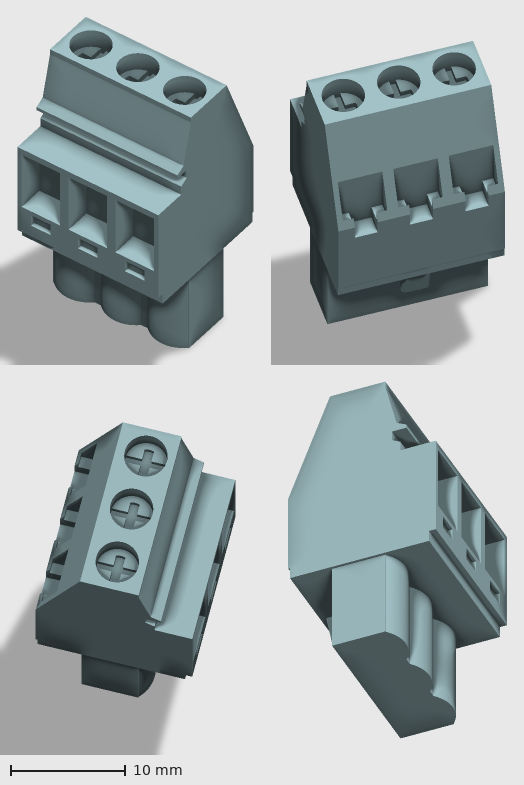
import cadquery as cq


WIDTH = 15.23
DEPTH = 14.1
HEIGHT = 27.1
FRONT = -DEPTH / 2
BACK = DEPTH / 2

POLE_COUNT = 3
PITCH = 5.07
POLE_X = [(i - (POLE_COUNT - 1) / 2) * PITCH for i in range(POLE_COUNT)]

BASE_Z = 8.4
STEP_Z = BASE_Z + 1.08
FRONT_STEP = 0.65
BACK_STEP = 0.15
SHOULDER_Z = 17.15
LEDGE_Z = 19.15
TOP_BACK_Y = 3.05
TOP_FRONT_Y = -2.22
TOP_LIP_Z = HEIGHT - 0.57
NECK_Y = -3.65
NECK_Z = 20.08
GROOVE_Y = -2.85
GROOVE_BOTTOM_Z = 20.51
GROOVE_TOP_Z = 21.44
RIB_Y = -4.23
RIB_Z = 21.8
RIB_ROOT_Y = -3.3
RIB_ROOT_Z = 22.25

PLUG_WIDTH = 14.7
PLUG_BACK_Y = 2.98
PLUG_WEB_Y = -2.15
LOBE_RISE = 0.9
LOBE_WIDTH = 4.35

HOOK_WIDTH = 2.1

WIRE_WIDTH = 4.17
WIRE_BOTTOM_Z = 12.4
WIRE_TOP_Z = 18.5
WIRE_DEPTH = 2.63
TEST_WIDTH = 2.11
TEST_BOTTOM_Z = 10.75
TEST_TOP_Z = 11.95
TEST_DEPTH = 0.45

POCKET_WIDTH = 4.06
POCKET_FRONT_Y = 5.25
POCKET_BACK_Y = 6.7
SLOT_WIDTH = 2.1
SLOT_DEPTH = 1.35

SCREW_Y = 0.35
SCREW_RADIUS = 1.9
SCREW_LENGTH = 2.7
SCREW_RECESS = 1.9
SCREW_TOP_Z = HEIGHT - SCREW_RECESS
BLADE_WIDTH = 0.6
CROSS_WIDTH = 0.85
CROSS_RADIUS = 1.3
DRIVE_DEPTH = 0.55


def box(center_x, width, y_range, z_range):
    """Box centred on center_x that spans the given Y and Z ranges."""
    y_min, y_max = y_range
    z_min, z_max = z_range
    return (
        cq.Workplane("XY")
        .box(width, y_max - y_min, z_max - z_min, centered=(True, False, False))
        .translate((center_x, y_min, z_min))
    )


def side_extrusion(points, width):
    """Extrude a (Y, Z) outline symmetrically along X."""
    return cq.Workplane("YZ").polyline(points).close().extrude(width / 2, both=True)


def screw_cylinder(x, bottom_z, height, radius=SCREW_RADIUS):
    """Vertical cylinder on the screw axis of the pole at x."""
    return cq.Workplane("XY", origin=(x, SCREW_Y, bottom_z)).circle(radius).extrude(height)


def make_shell():
    """Main block with the clamping slope, front ledge, rib and groove."""
    profile = [
        (FRONT + FRONT_STEP, BASE_Z),
        (BACK - BACK_STEP, BASE_Z),
        (BACK - BACK_STEP, STEP_Z),
        (BACK, STEP_Z),
        (BACK, SHOULDER_Z),
        (TOP_BACK_Y, HEIGHT),
        (TOP_FRONT_Y, HEIGHT),
        (TOP_FRONT_Y, TOP_LIP_Z),
        (RIB_ROOT_Y, RIB_ROOT_Z),
        (RIB_Y, RIB_Z),
        (RIB_Y, GROOVE_TOP_Z),
        (GROOVE_Y, GROOVE_TOP_Z),
        (GROOVE_Y, GROOVE_BOTTOM_Z),
        (NECK_Y, NECK_Z),
        (NECK_Y, LEDGE_Z),
        (FRONT, LEDGE_Z),
        (FRONT, STEP_Z),
        (FRONT + FRONT_STEP, STEP_Z),
    ]
    return side_extrusion(profile, WIDTH)


def make_plug():
    """Plug whose front is a row of shallow arcs joined and flanked by flat webs."""
    half_lobe = LOBE_WIDTH / 2
    half_plug = PLUG_WIDTH / 2
    outline = cq.Workplane("XY").moveTo(-half_plug, PLUG_BACK_Y).lineTo(-half_plug, PLUG_WEB_Y)
    for x in POLE_X:
        outline = outline.lineTo(x - half_lobe, PLUG_WEB_Y)
        outline = outline.threePointArc((x, PLUG_WEB_Y - LOBE_RISE), (x + half_lobe, PLUG_WEB_Y))
    outline = outline.lineTo(half_plug, PLUG_WEB_Y).lineTo(half_plug, PLUG_BACK_Y)
    return outline.close().extrude(BASE_Z)


def make_hook():
    """Latch hook hanging behind the middle of the plug."""
    profile = [
        (6.35, BASE_Z),
        (5.72, 5.12),
        (4.34, 3.7),
        (3.95, 4.7),
        (4.6, 5.42),
        (4.6, 7.18),
        (4.25, BASE_Z),
    ]
    return side_extrusion(profile, HOOK_WIDTH)


def make_pole_cuts(x):
    """All openings in the housing that belong to the pole at x."""
    wire = box(x, WIRE_WIDTH, (FRONT, FRONT + WIRE_DEPTH), (WIRE_BOTTOM_Z, WIRE_TOP_Z))
    test = box(x, TEST_WIDTH, (FRONT, FRONT + TEST_DEPTH), (TEST_BOTTOM_Z, TEST_TOP_Z))
    pocket = box(x, POCKET_WIDTH, (POCKET_FRONT_Y, POCKET_BACK_Y), (SHOULDER_Z, HEIGHT))
    slot = box(x, SLOT_WIDTH, (POCKET_FRONT_Y, BACK), (SHOULDER_Z - SLOT_DEPTH, HEIGHT))
    screw_hole = screw_cylinder(x, SCREW_TOP_Z - SCREW_LENGTH, SCREW_LENGTH + SCREW_RECESS)
    return [wire, test, pocket, slot, screw_hole]


def make_housing():
    """Shell, plug and hook as one solid, with the openings of every pole."""
    body = make_shell().union(make_plug()).union(make_hook())
    for x in POLE_X:
        for opening in make_pole_cuts(x):
            body = body.cut(opening)
    return body


def make_screw(x):
    """Screw with a full-length blade slot along Y and a shorter cross slot along X."""
    floor_z = SCREW_TOP_Z - DRIVE_DEPTH
    drive_z = (floor_z, SCREW_TOP_Z)
    body = screw_cylinder(x, SCREW_TOP_Z - SCREW_LENGTH, SCREW_LENGTH)
    blade_y = (SCREW_Y - SCREW_RADIUS, SCREW_Y + SCREW_RADIUS)
    blade_slot = box(x, BLADE_WIDTH, blade_y, drive_z)
    cross_y = (SCREW_Y - CROSS_WIDTH / 2, SCREW_Y + CROSS_WIDTH / 2)
    cross_slot = box(x, 2 * CROSS_RADIUS, cross_y, drive_z)
    cross_slot = cross_slot.intersect(screw_cylinder(x, floor_z, DRIVE_DEPTH, CROSS_RADIUS))
    return body.cut(blade_slot).cut(cross_slot)


housing = make_housing()
screws = [make_screw(x) for x in POLE_X]

result = cq.Compound.makeCompound([housing.val(), *[screw.val() for screw in screws]])